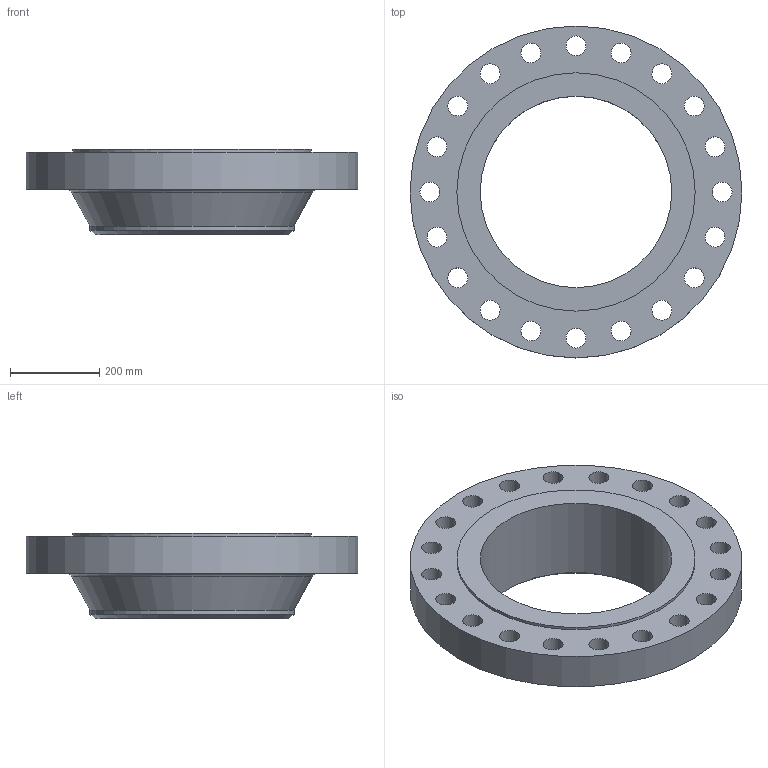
import cadquery as cq
import math

FLANGE_DIAMETER = 742.95
FLANGE_THICKNESS = 82.55
RAISED_FACE_DIAMETER = 533.4
RAISED_FACE_HEIGHT = 6.35
BORE_DIAMETER = 428.65

BOLT_COUNT = 20
BOLT_CIRCLE_DIAMETER = 654.05
BOLT_HOLE_DIAMETER = 44.45

OVERALL_HEIGHT = 190.5
HUB_DIAMETER = 546.1
NECK_DIAMETER = 457.2
NECK_LENGTH = 19.05
HUB_FILLET_RADIUS = 12.7

WELD_BEVEL_ANGLE = 37.5
WELD_LAND = 1.6

FLANGE_TOP = -RAISED_FACE_HEIGHT
FLANGE_BOTTOM = FLANGE_TOP - FLANGE_THICKNESS
NECK_END = -OVERALL_HEIGHT
NECK_TOP = NECK_END + NECK_LENGTH


def make_body():
    """Revolve the half section, bore included, about the Z axis."""
    bore_radius = BORE_DIAMETER / 2
    flange_radius = FLANGE_DIAMETER / 2
    raised_face_radius = RAISED_FACE_DIAMETER / 2
    hub_radius = HUB_DIAMETER / 2
    neck_radius = NECK_DIAMETER / 2
    land_radius = bore_radius + WELD_LAND
    bevel_height = (neck_radius - land_radius) * math.tan(math.radians(WELD_BEVEL_ANGLE))
    section = (
        cq.Workplane("XZ")
        .moveTo(bore_radius, 0)
        .lineTo(raised_face_radius, 0)
        .lineTo(raised_face_radius, FLANGE_TOP)
        .lineTo(flange_radius, FLANGE_TOP)
        .lineTo(flange_radius, FLANGE_BOTTOM)
        .lineTo(hub_radius, FLANGE_BOTTOM)
        .lineTo(neck_radius, NECK_TOP)
        .lineTo(neck_radius, NECK_END + bevel_height)
        .lineTo(land_radius, NECK_END)
        .lineTo(bore_radius, NECK_END)
        .close()
    )
    return section.revolve(360, (0, 0, 0), (0, 1, 0))


def fillet_hub_root(body):
    """Round the inner corner where the hub meets the underside of the flange."""
    hub_reach = HUB_DIAMETER / 2 + HUB_FILLET_RADIUS
    root_zone = cq.selectors.BoxSelector(
        (-hub_reach, -hub_reach, FLANGE_BOTTOM - HUB_FILLET_RADIUS),
        (hub_reach, hub_reach, FLANGE_BOTTOM + HUB_FILLET_RADIUS),
        boundingbox=True,
    )
    return body.edges(root_zone).fillet(HUB_FILLET_RADIUS)


def make_bolt_holes():
    """Evenly spaced through holes, the first one on the +X axis."""
    return (
        cq.Workplane("XY")
        .workplane(offset=FLANGE_BOTTOM)
        .polarArray(BOLT_CIRCLE_DIAMETER / 2, 0, 360, BOLT_COUNT)
        .circle(BOLT_HOLE_DIAMETER / 2)
        .extrude(FLANGE_THICKNESS)
    )


result = fillet_hub_root(make_body()).cut(make_bolt_holes())